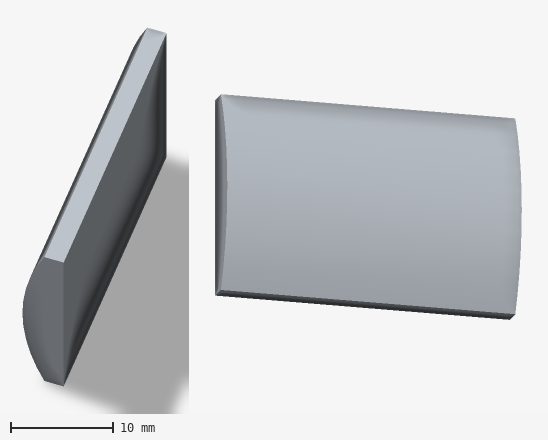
import cadquery as cq

length = 30.0
height = 20.0
center_thickness = 4.3
edge_thickness = 2.0

half_height = height / 2
flat_x = center_thickness / 2
crown_x = flat_x - center_thickness
edge_x = flat_x - edge_thickness

result = (
    cq.Workplane("XZ")
    .moveTo(flat_x, -half_height)
    .lineTo(flat_x, half_height)
    .lineTo(edge_x, half_height)
    .threePointArc((crown_x, 0), (edge_x, -half_height))
    .close()
    .extrude(length / 2, both=True)
)